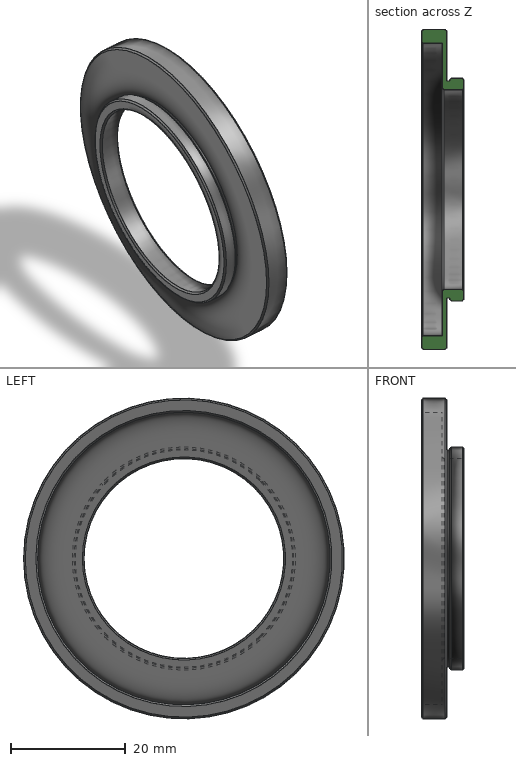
import cadquery as cq

flange_width = 4.4
neck_width = 0.5
spigot_width = 2.5
recess_depth = 3.6

flange_radius = 27.95
spigot_radius = 19.45
groove_depth = 0.5
neck_radius = spigot_radius - groove_depth
recess_radius = 25.5
bore_radius = 17.4

edge_chamfer = 0.3


def disc(start, width, radius):
    """Solid cylinder on the X axis, beginning at x = start."""
    return cq.Workplane("YZ").workplane(offset=start).circle(radius).extrude(width)


def chamfered_disc(start, width, radius):
    """Cylinder with both outer rims chamfered."""
    return disc(start, width, radius).edges().chamfer(edge_chamfer)


def mouth_chamfer(start, radius, direction):
    """Cone that chamfers a hole mouth at x = start, narrowing toward +X (direction 1) or -X (-1)."""
    mouth = cq.Workplane("YZ").workplane(offset=start).circle(radius + edge_chamfer)
    return mouth.workplane(offset=direction * edge_chamfer).circle(radius).loft()


spigot_start = flange_width + neck_width
overall_width = spigot_start + spigot_width

flange = chamfered_disc(0, flange_width, flange_radius)
neck = disc(recess_depth, spigot_start + edge_chamfer - recess_depth, neck_radius)
spigot = chamfered_disc(spigot_start, spigot_width, spigot_radius)
body = flange.union(neck).union(spigot)

body = body.cut(disc(0, recess_depth, recess_radius))
body = body.cut(mouth_chamfer(0, recess_radius, 1))
body = body.cut(disc(0, overall_width, bore_radius))
body = body.cut(mouth_chamfer(recess_depth, bore_radius, 1))
body = body.cut(mouth_chamfer(overall_width, bore_radius, -1))

result = body